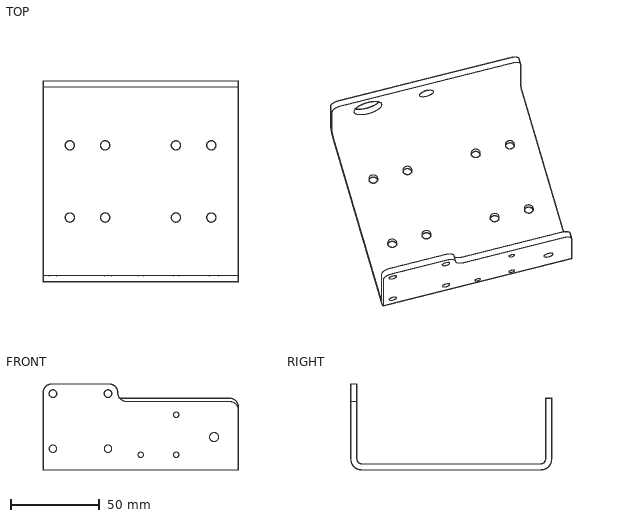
import cadquery as cq

length = 110.0
width = 113.2
sheet = 3.5
bend_radius = 6.2
corner_radius = 5.0
front_height = 48.6
back_height = 40.5

motor_pitch = 31.0
motor_margin = 5.5
motor_hole = 4.2
mount_length = motor_pitch + 2 * motor_margin
step_depth = 2 * corner_radius
low_height = front_height - step_depth
small_hole = 3.1
small_pitch = 19.9
small_x = 75.0
small_z = 8.6
small_upper_z = 31.1
screw_hole = 5.1
side_screw = (96.3, 18.6)

floor_pair_pitch = 19.9
floor_pair_starts = (15.1, 74.8)
floor_row_pitch = 40.6

cable_z = 27.5
large_cable_hole = 16.2
large_cable_x = 20.8
small_cable_hole = 8.2
small_cable_x = length / 2


def rounded_channel(inset, radius):
    """Solid bar inset from the outer faces, with its two lower edges rounded."""
    bar_width = width - 2 * inset
    bar = cq.Workplane("XY").box(length, bar_width, front_height, centered=(False, True, False))
    return bar.edges("|X and <Z").fillet(radius).translate((0, 0, inset))


def back_trim():
    """Block over the back half, with rounded top corners, that bounds the back wall."""
    block = cq.Workplane("XY").box(length, width / 2, back_height, centered=False)
    return block.edges("|Y and >Z").fillet(corner_radius)


def wall_holes(points, diameter, y_start):
    """Cutters along +Y that pass through one wall; points are (x, z)."""
    plane = cq.Workplane("XZ", origin=(0, y_start, 0))
    return plane.pushPoints(points).circle(diameter / 2).extrude(-width / 2)


def front_trim():
    """Outline of the front wall, with the step down beside the motor mount."""
    r = corner_radius
    outline = (
        cq.Workplane("XZ")
        .lineTo(length, 0)
        .lineTo(length, low_height - r)
        .radiusArc((length - r, low_height), -r)
        .lineTo(mount_length + r, low_height)
        .radiusArc((mount_length, low_height + r), r)
        .radiusArc((mount_length - r, front_height), -r)
        .lineTo(r, front_height)
        .radiusArc((0, front_height - r), -r)
        .close()
    )
    return outline.extrude(width / 2)


channel = rounded_channel(0, bend_radius).cut(rounded_channel(sheet, bend_radius - sheet))
part = channel.intersect(front_trim().union(back_trim()))

motor_low_z = front_height - motor_margin - motor_pitch
motor_points = [
    (motor_margin + i * motor_pitch, motor_low_z + j * motor_pitch)
    for i in range(2)
    for j in range(2)
]
small_points = [(small_x - small_pitch, small_z), (small_x, small_z), (small_x, small_upper_z)]
part = part.cut(wall_holes(motor_points, motor_hole, -width / 2))
part = part.cut(wall_holes(small_points, small_hole, -width / 2))
part = part.cut(wall_holes([side_screw], screw_hole, -width / 2))

part = part.cut(wall_holes([(large_cable_x, cable_z)], large_cable_hole, 0))
part = part.cut(wall_holes([(small_cable_x, cable_z)], small_cable_hole, 0))

floor_points = [
    (start + i * floor_pair_pitch, side * floor_row_pitch / 2)
    for start in floor_pair_starts
    for i in range(2)
    for side in (-1, 1)
]
part = part.cut(cq.Workplane("XY").pushPoints(floor_points).circle(screw_hole / 2).extrude(sheet))

result = part